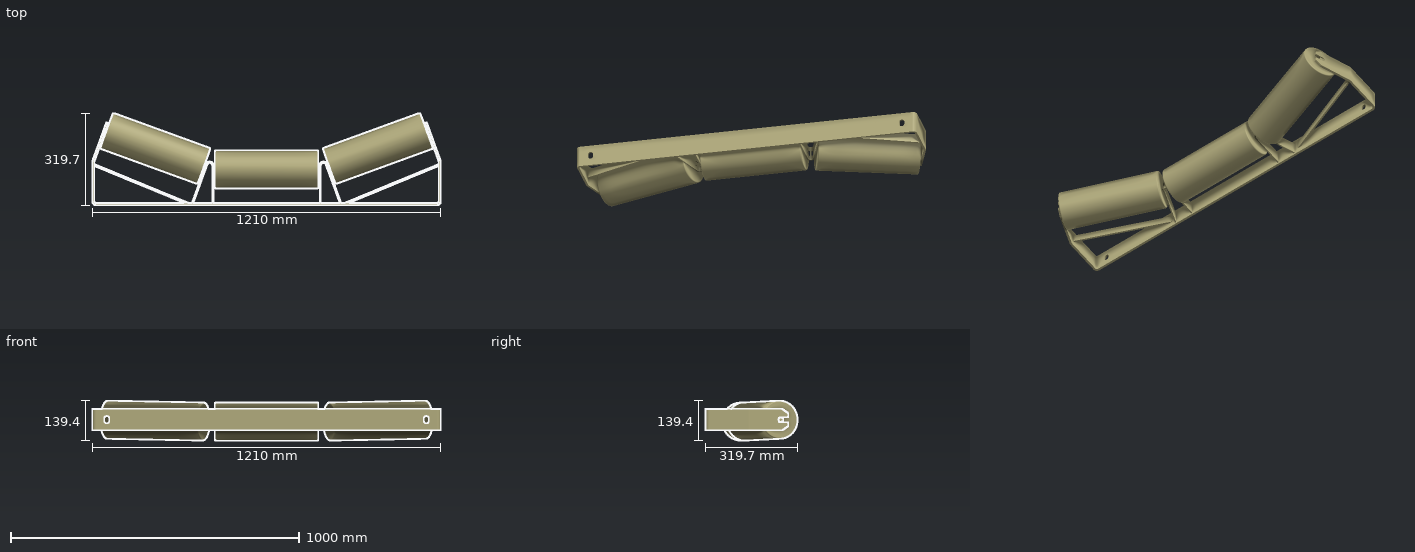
import cadquery as cq
import math

frame_length = 1210.0
frame_height = 75.0
frame_plate = 8.0
bend_radius = 15.0
upright_height = 152.0
arm_length = 144.0
arm_chamfer_along = 22.0
arm_chamfer_across = 15.0
mount_hole_x = 554.0
mount_hole_width = 18.0
mount_hole_height = 25.0

side_angle = 20.0
roller_diameter = 133.0
roller_length = 359.0
roller_edge_radius = 4.2
roller_drop = 6.7
middle_roller_y = 125.0
side_roller_x = 386.0
side_roller_y = 197.0

bracket_plate = 5.0
bracket_height = 50.0
bracket_leg_x = 184.0
bracket_foot_x = 259.0
bracket_bend_radius = 13.0

brace_plate = 6.0
brace_height = 30.0
brace_top_y = 143.0
brace_foot_x = 270.0

shaft_diameter = 18.0
shaft_flat_thickness = 13.0
shaft_length = 2 * (bracket_leg_x + bracket_plate)
slot_end_clearance = 5.0
slot_reach = shaft_length + 2 * slot_end_clearance
slot_opening = 48.0

half_length = frame_length / 2
upright_inner_x = half_length - frame_plate
side_sin = math.sin(math.radians(side_angle))
side_cos = math.cos(math.radians(side_angle))
side_tan = side_sin / side_cos

side_lean = math.degrees(math.asin(roller_drop / shaft_length))


def place_middle(shape):
    """Move a shape built along X about the origin onto the middle roller's axis."""
    return shape.translate((0, middle_roller_y, -roller_drop))


def place_side(shape, side):
    """Move a shape built along X about the origin onto the roller axis of one side (+1 or -1)."""
    leaned = shape.rotate((0, 0, 0), (0, 1, 0), -side * side_lean)
    tilted = leaned.rotate((0, 0, 0), (0, 0, 1), side * side_angle)
    return tilted.translate((side * side_roller_x, side_roller_y, -roller_drop / 2))


def make_shaft_slot():
    """Cutter for a round-bottomed slot, open towards +Y, under both ends of a shaft."""
    bottom = cq.Workplane("YZ").circle(shaft_diameter / 2).extrude(slot_reach / 2, both=True)
    opening = cq.Workplane("XY").box(
        slot_reach, slot_opening, shaft_diameter, centered=(True, False, True)
    )
    return bottom.union(opening)


def fillet_at(solid, x, y, radius):
    """Round the vertical edge at (x, y)."""
    return solid.edges(cq.selectors.NearestToPointSelector((x, y, 0))).fillet(radius)


def make_arm_chamfers(tip_x, tip_y, side):
    """Cutters for the two sloping corners at the tip of one arm."""
    plane = cq.Plane(
        origin=(side * tip_x, tip_y, 0),
        xDir=(-side * side_sin, side_cos, 0),
        normal=(side * side_cos, side_sin, 0),
    )
    edge = frame_height / 2
    corner = (
        cq.Workplane(plane)
        .polyline([(-arm_chamfer_along, edge), (0, edge), (0, edge - arm_chamfer_across)])
        .close()
        .extrude(2 * frame_plate, both=True)
    )
    return corner.union(corner.mirror("XY"))


def make_frame():
    """Bent bar with rounded bends, chamfered arm tips, shaft slots and two mounting holes."""
    tip_x = half_length - arm_length * side_sin
    tip_y = upright_height + arm_length * side_cos
    inner_bend_y = upright_height - frame_plate * math.tan(math.radians(side_angle / 2))
    right_half = [
        (half_length, 0),
        (half_length, upright_height),
        (tip_x, tip_y),
        (tip_x - frame_plate * side_cos, tip_y - frame_plate * side_sin),
        (upright_inner_x, inner_bend_y),
        (upright_inner_x, frame_plate),
    ]
    left_half = [(-x, y) for x, y in reversed(right_half)]
    frame = (
        cq.Workplane("XY")
        .polyline(right_half + left_half)
        .close()
        .extrude(frame_height / 2, both=True)
    )
    inner_radius = bend_radius - frame_plate
    for side in (1, -1):
        frame = fillet_at(frame, side * half_length, 0, bend_radius)
        frame = fillet_at(frame, side * upright_inner_x, frame_plate, inner_radius)
        frame = fillet_at(frame, side * half_length, upright_height, bend_radius)
        frame = fillet_at(frame, side * upright_inner_x, inner_bend_y, inner_radius)
        frame = frame.cut(make_arm_chamfers(tip_x, tip_y, side))
        frame = frame.cut(place_side(make_shaft_slot(), side))
    mount_holes = (
        cq.Workplane("XZ")
        .pushPoints([(-mount_hole_x, 0), (mount_hole_x, 0)])
        .slot2D(mount_hole_height, mount_hole_width, 90)
        .extrude(-frame_plate)
    )
    return frame.cut(mount_holes)


def make_roller():
    """Roller drum along X with a shaft end, flattened above and below, at each end."""
    drum = (
        cq.Workplane("YZ")
        .circle(roller_diameter / 2)
        .extrude(roller_length)
        .translate((-roller_length / 2, 0, 0))
        .faces("<X or >X")
        .edges()
        .fillet(roller_edge_radius)
    )
    shaft = (
        cq.Workplane("YZ")
        .circle(shaft_diameter / 2)
        .extrude(shaft_length)
        .translate((-shaft_length / 2, 0, 0))
    )
    flats = cq.Workplane("XY").box(shaft_length, shaft_diameter, shaft_flat_thickness)
    return drum.union(shaft.intersect(flats))


def make_arch(center_x, center_y, radius):
    """Solid under an arch: an upright side, a round top and a side inclined by side_angle."""
    top_angle = math.radians((180 + side_angle) / 2)
    foot_x = center_x + radius / side_cos + (center_y - frame_plate) * side_tan
    return (
        cq.Workplane("XY")
        .moveTo(center_x - radius, frame_plate)
        .lineTo(center_x - radius, center_y)
        .threePointArc(
            (center_x + radius * math.cos(top_angle), center_y + radius * math.sin(top_angle)),
            (center_x + radius * side_cos, center_y + radius * side_sin),
        )
        .lineTo(foot_x, frame_plate)
        .close()
        .extrude(bracket_height / 2, both=True)
    )


def make_bracket(side):
    """Arched flat bar on the base, slotted for the middle shaft and one side shaft."""
    center_x = bracket_leg_x + bracket_bend_radius
    foot_run = bracket_foot_x - center_x - bracket_bend_radius / side_cos
    center_y = frame_plate + foot_run / side_tan
    outer = make_arch(center_x, center_y, bracket_bend_radius)
    inner = make_arch(center_x, center_y, bracket_bend_radius - bracket_plate)
    bracket = outer.cut(inner).translate((0, 0, -roller_drop))
    slot = make_shaft_slot()
    bracket = bracket.cut(place_middle(slot)).cut(place_side(slot, 1))
    return bracket if side > 0 else bracket.mirror("YZ")


def make_brace(side):
    """Sloping flat bar between the base and one upright."""
    slope = math.atan2(brace_top_y - frame_plate, upright_inner_x - brace_foot_x)
    outline = [
        (upright_inner_x, brace_top_y),
        (brace_foot_x, frame_plate),
        (brace_foot_x + brace_plate / math.sin(slope), frame_plate),
        (upright_inner_x, brace_top_y - brace_plate / math.cos(slope)),
    ]
    return (
        cq.Workplane("XY")
        .polyline([(side * x, y) for x, y in outline])
        .close()
        .extrude(brace_height / 2, both=True)
    )


frame = make_frame()
middle_roller = place_middle(make_roller())
side_rollers = [place_side(make_roller(), side) for side in (1, -1)]
brackets = [make_bracket(side) for side in (1, -1)]
braces = [make_brace(side) for side in (1, -1)]

bodies = [frame, middle_roller, *side_rollers, *brackets, *braces]
result = cq.Compound.makeCompound([body.val() for body in bodies])